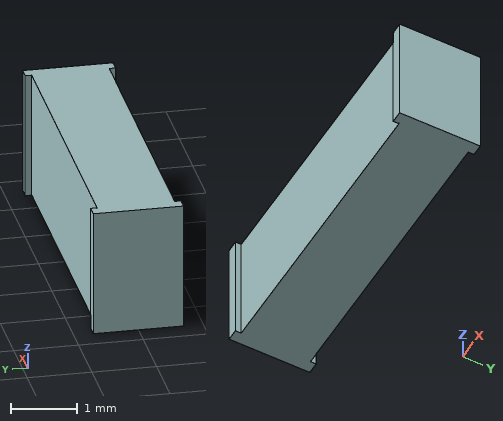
import cadquery as cq

length = 5.3
width = 1.4
height = 2.0

flange_thickness = 0.2
flange_step = 0.1
body_width = width - 2 * flange_step


def end_flange(side):
    """Full-width plate at the -X (side = -1) or +X (side = 1) end."""
    center_x = side * (length - flange_thickness) / 2
    return cq.Workplane("XY").box(flange_thickness, width, height).translate((center_x, 0, 0))


result = cq.Workplane("XY").box(length, body_width, height)
for side in (-1, 1):
    result = result.union(end_flange(side))
result = result.clean()